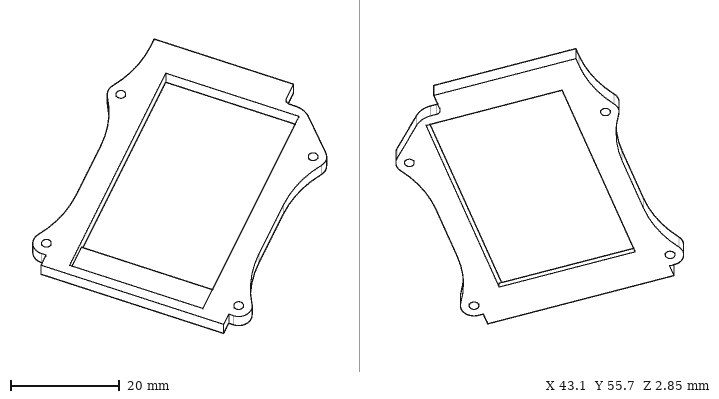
import cadquery as cq
import math

thickness = 2.85
length = 55.7
body_half_width = 18.1

lug_radius = 2.5
hole_diameter = 1.8
hole_x = 43.1 / 2 - lug_radius
hole_ys = (5.0, 41.65)
flare_length = 12.25

notch_x = 9.5
notch_y = 51.2
notch_fillet = 1.0
shoulder_radius = 4.45
slope_angle = 47.0

window_half_width = 13.2
window_bottom = 1.95
window_top = 49.25
ledge_width = 5.85
ledge_thickness = 1.1

lug_offset = hole_x - body_half_width
flare_radius = (lug_offset**2 + flare_length**2 - lug_radius**2) / (2 * (lug_radius + lug_offset))


def extrude(sketch):
    return sketch.close().extrude(thickness)


def flare(side, hole_y, direction):
    """Web from a lug to the body side, towards +Y or -Y (direction is 1 or -1)."""
    centre_x = body_half_width + flare_radius
    centre_y = hole_y + direction * flare_length
    touch = lug_radius / (lug_radius + flare_radius)
    touch_x = hole_x + (centre_x - hole_x) * touch
    touch_y = hole_y + (centre_y - hole_y) * touch
    half_angle = math.atan2(abs(centre_y - touch_y), centre_x - touch_x) / 2
    mid_x = centre_x - flare_radius * math.cos(half_angle)
    mid_y = centre_y - direction * flare_radius * math.sin(half_angle)
    return extrude(
        cq.Workplane("XY")
        .moveTo(side * window_half_width, hole_y)
        .lineTo(side * hole_x, hole_y)
        .lineTo(side * touch_x, touch_y)
        .threePointArc((side * mid_x, mid_y), (side * body_half_width, centre_y))
        .lineTo(side * window_half_width, centre_y)
    )


def body():
    """Straight-sided plate with the sloping shoulder of the cut-away corner."""
    slope = math.radians(slope_angle)
    lug_y = hole_ys[1]
    touch_x = hole_x + lug_radius * math.sin(slope)
    touch_y = lug_y + lug_radius * math.cos(slope)
    shoulder_x = touch_x - (notch_y - touch_y) / math.tan(slope)
    plate = extrude(
        cq.Workplane("XY")
        .moveTo(-body_half_width, 0)
        .lineTo(body_half_width, 0)
        .lineTo(body_half_width, lug_y)
        .lineTo(hole_x, lug_y)
        .lineTo(touch_x, touch_y)
        .lineTo(shoulder_x, notch_y)
        .lineTo(notch_x, notch_y)
        .lineTo(notch_x, length)
        .lineTo(-body_half_width, length)
    )

    def upright_edge(x, y):
        return cq.selectors.NearestToPointSelector((x, y, thickness / 2))

    plate = plate.edges(upright_edge(shoulder_x, notch_y)).fillet(shoulder_radius)
    return plate.edges(upright_edge(notch_x, notch_y)).fillet(notch_fillet)


def lug_base(side, hole_y):
    """Round lug; the lower ones run square into the body below the hole."""
    hub = cq.Workplane("XY").center(side * hole_x, hole_y).circle(lug_radius).extrude(thickness)
    if hole_y == hole_ys[0]:
        web_width = hole_x - window_half_width
        web_x = side * (hole_x - web_width / 2)
        web = cq.Workplane("XY").center(web_x, hole_y - lug_radius / 2)
        hub = hub.union(web.rect(web_width, lug_radius).extrude(thickness))
    return hub


def window():
    """Through window, made shallow over the ledge."""
    width = 2 * window_half_width
    ledge_top = window_bottom + ledge_width
    opening = cq.Workplane("XY").box(width, window_top - ledge_top, thickness, centered=(True, False, False))
    recess = cq.Workplane("XY").box(
        width, ledge_width, thickness - ledge_thickness, centered=(True, False, False)
    )
    opening = opening.translate((0, ledge_top, 0))
    return opening.union(recess.translate((0, window_bottom, ledge_thickness)))


result = body()
for side in (-1, 1):
    for hole_y in hole_ys:
        result = result.union(lug_base(side, hole_y))
        directions = (-1, 1) if side < 0 else (-1,)
        if hole_y == hole_ys[0]:
            directions = (1,)
        for direction in directions:
            result = result.union(flare(side, hole_y, direction))

hole_centres = [(side * hole_x, hole_y) for side in (-1, 1) for hole_y in hole_ys]
holes = cq.Workplane("XY").pushPoints(hole_centres).circle(hole_diameter / 2).extrude(thickness)
result = result.cut(holes).cut(window()).clean()